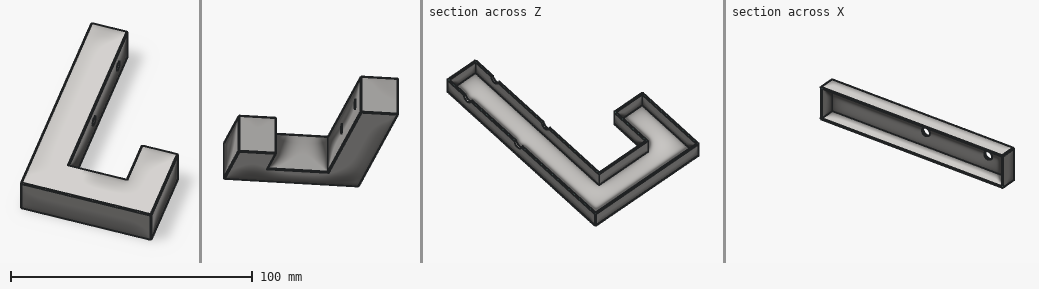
import cadquery as cq

width = 57.0
length = 94.0
bar = 16.0
hook_length = 36.0

wall = 1.0
edge_break = 0.5

hole_diameter = 4.0
end_to_first_hole = 13.0
hole_spacing = 32.0


def j_bar(inset):
    """Sharp-edged J-shaped bar with every face moved inward by inset."""
    inner_x = bar - inset
    hook_x = width - bar + inset
    outline = [
        (inset, inset),
        (width - inset, inset),
        (width - inset, hook_length - inset),
        (hook_x, hook_length - inset),
        (hook_x, bar - inset),
        (inner_x, bar - inset),
        (inner_x, length - inset),
        (inset, length - inset),
    ]
    base = cq.Workplane("XY", origin=(0, 0, inset))
    return base.polyline(outline).close().extrude(bar - 2 * inset)


def outer_body():
    """J bar with all edges chamfered except the two inside corners of the J."""
    body = j_bar(0)
    inside_corners = cq.selectors.BoxSelector(
        (bar - edge_break, bar - edge_break, edge_break),
        (width - bar + edge_break, bar + edge_break, bar - edge_break),
    )
    all_edges = cq.selectors.StringSyntaxSelector("#Z or |Z")
    outside_edges = all_edges - inside_corners
    return body.edges(outside_edges).chamfer(edge_break)


def mounting_holes():
    """Cylinders running along X at mid-height of the long leg."""
    first_y = length - end_to_first_hole
    centers = [(first_y, bar / 2), (first_y - hole_spacing, bar / 2)]
    return cq.Workplane("YZ").pushPoints(centers).circle(hole_diameter / 2).extrude(bar)


hollow_core = j_bar(wall)
result = outer_body().cut(hollow_core).cut(mounting_holes())